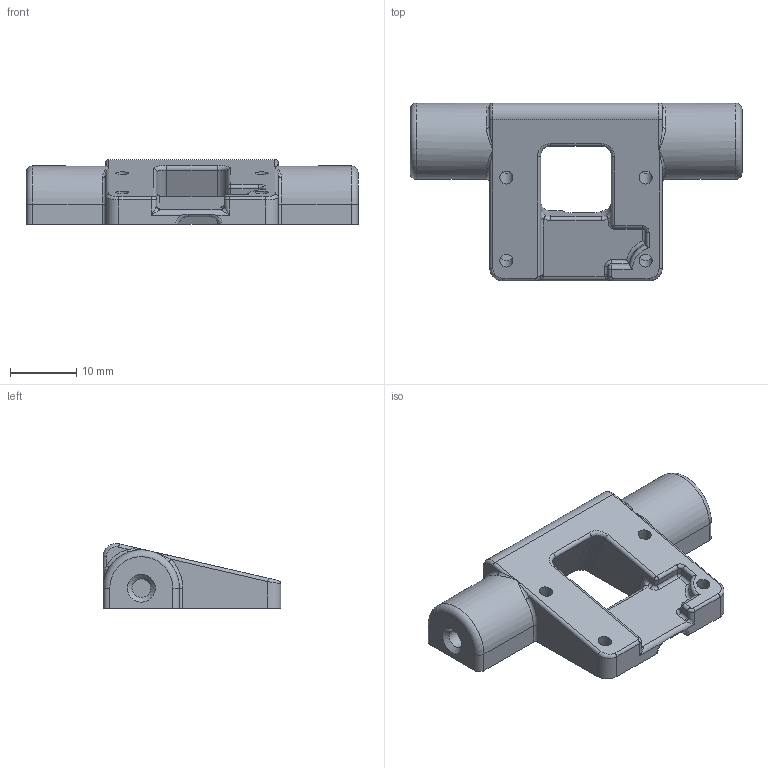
import cadquery as cq
import math

TOTAL_WIDTH = 50.0
TOTAL_LENGTH = 26.78
BODY_WIDTH = 26.0

AXIS_HEIGHT = 3.045
BARREL_RADIUS = 5.75
BARREL_END_FILLET = 1.0
BARREL_ROOT_FILLET = 0.5
PIVOT_HOLE_DIAMETER = 2.8
PIVOT_HOLE_DEPTH = 8.0
PIVOT_COUNTERSINK = 0.7

SLOPE_ANGLE = 13.0
BACK_EDGE_RADIUS = 2.0
FRONT_CORNER_RADIUS = 2.0
EDGE_FILLET = 0.5

WINDOW_HALF_WIDTH = 5.33
WINDOW_BACK = 0.35
WINDOW_BACK_LEAN = 24.0
WINDOW_FRONT = -10.9
WINDOW_CORNER_RADIUS = 1.5
POCKET_DEPTH = 2.0
POCKET_CORNER_RADIUS = 0.5
POCKET_FRONT_FILLET = 0.8
ARM_BACK = -12.23
ARM_FRONT = -17.95
STEP_X = 4.84

SCREW_X = 10.5
SCREW_BACK = -4.29
SCREW_FRONT = -17.12
SCREW_DIAMETER = 2.0
SCREW_FLOOR = 0.6
SCREW_BOSS_RADIUS = 4.0
SCREW_BOSS_X = 12.0
SCREW_BOSS_V = -18.5

GROOVE_X = 1.0
GROOVE_WIDTH = 6.2
GROOVE_HEIGHT = 1.15
GROOVE_CORNER_RADIUS = 1.5
GROOVE_MOUTH_FILLET = 0.5

CLEARANCE = 10.0
TOLERANCE = 0.05

SLOPE = math.radians(SLOPE_ANGLE)
BODY_HALF = BODY_WIDTH / 2
BARREL_END = TOTAL_WIDTH / 2
BACK_Y = BARREL_RADIUS
FRONT_Y = BACK_Y - TOTAL_LENGTH


def slope_height(y):
    """Height of the sloping top plane at a given Y."""
    return AXIS_HEIGHT + BARREL_RADIUS / math.cos(SLOPE) + y * math.tan(SLOPE)


def slope_plane():
    """Plane on the sloping top: X along the part, Y up the slope."""
    normal = cq.Vector(0, -math.sin(SLOPE), math.cos(SLOPE))
    origin = cq.Vector(0, 0, AXIS_HEIGHT) + normal * BARREL_RADIUS
    return cq.Plane(origin=origin, xDir=(1, 0, 0), normal=normal)


def wedge_body():
    """Wedge with a rounded top back edge and rounded upright front corners."""
    wedge = (
        cq.Workplane("YZ")
        .polyline([
            (BACK_Y, 0),
            (BACK_Y, slope_height(BACK_Y)),
            (FRONT_Y, slope_height(FRONT_Y)),
            (FRONT_Y, 0),
        ])
        .close()
        .extrude(BODY_HALF, both=True)
    )
    wedge = wedge.edges("|X and >Z").fillet(BACK_EDGE_RADIUS)
    return wedge.edges("|Z and <Y").fillet(FRONT_CORNER_RADIUS)


def pocket_tool():
    """Sunken floor from the window to the front face, with an arm curving round a screw boss."""
    front = ARM_FRONT - CLEARANCE
    middle = (WINDOW_BACK + WINDOW_FRONT) / 2
    boss_start_v = SCREW_BOSS_V + math.sqrt(SCREW_BOSS_RADIUS**2 - (SCREW_BOSS_X - SCREW_X) ** 2)
    boss_end_x = SCREW_BOSS_X - math.sqrt(SCREW_BOSS_RADIUS**2 - (SCREW_BOSS_V - ARM_FRONT) ** 2)
    diagonal = SCREW_BOSS_RADIUS * math.sqrt(0.5)
    tool = (
        cq.Workplane(slope_plane())
        .moveTo(-WINDOW_HALF_WIDTH, front)
        .lineTo(-WINDOW_HALF_WIDTH, middle)
        .lineTo(WINDOW_HALF_WIDTH, middle)
        .lineTo(WINDOW_HALF_WIDTH, ARM_BACK)
        .lineTo(SCREW_X, ARM_BACK)
        .lineTo(SCREW_X, boss_start_v)
        .threePointArc(
            (SCREW_BOSS_X - diagonal, SCREW_BOSS_V + diagonal),
            (boss_end_x, ARM_FRONT),
        )
        .lineTo(STEP_X, ARM_FRONT)
        .lineTo(STEP_X, front)
        .close()
        .extrude(-POCKET_DEPTH)
    )
    rounded_corners = [
        (WINDOW_HALF_WIDTH, ARM_BACK),
        (SCREW_X, ARM_BACK),
        (STEP_X, ARM_FRONT),
    ]
    for x, v in rounded_corners:
        corner = slope_plane().toWorldCoords((x, v, -POCKET_DEPTH / 2))
        nearest = cq.selectors.NearestToPointSelector(corner.toTuple())
        tool = tool.edges(nearest).fillet(POCKET_CORNER_RADIUS)
    return tool


def window_tool():
    """Opening through the body: front wall square to the slope, back wall leaning further back."""
    depth = 2 * CLEARANCE
    back_drift = depth * math.tan(math.radians(WINDOW_BACK_LEAN - SLOPE_ANGLE))
    slope = slope_plane()
    side = cq.Plane(
        origin=slope.toWorldCoords((-WINDOW_HALF_WIDTH, 0, 0)),
        xDir=slope.yDir,
        normal=slope.xDir,
    )
    along_slope = cq.selectors.ParallelDirSelector(slope.yDir)
    return (
        cq.Workplane(side)
        .polyline([
            (WINDOW_FRONT, 0),
            (WINDOW_BACK, 0),
            (WINDOW_BACK + back_drift, -depth),
            (WINDOW_FRONT, -depth),
        ])
        .close()
        .extrude(2 * WINDOW_HALF_WIDTH)
        .faces("|X")
        .edges(cq.selectors.InverseSelector(along_slope))
        .fillet(WINDOW_CORNER_RADIUS)
    )


def round_pocket_mouth(body):
    """Round the edges where the pocket floor and walls meet the front face."""
    mouth = [
        edge
        for edge in body.faces("<Y").edges().vals()
        if abs(edge.Center().x) <= WINDOW_HALF_WIDTH and edge.Center().z > 0
    ]
    return body.newObject([body.val().fillet(POCKET_FRONT_FILLET, mouth)])


def round_top_edges(body):
    """Round the rims of the sloping top and pocket floor, and the back corners of the body."""
    facing_slope = cq.selectors.ParallelDirSelector(slope_plane().zDir)
    smooth_back_edge = body.edges("|X and >Z").val()
    rims = [
        edge
        for edge in body.faces(facing_slope).edges().vals()
        if not edge.isSame(smooth_back_edge)
    ]
    back_arcs = [
        edge
        for edge in body.edges("%CIRCLE").vals()
        if edge.Center().y > BACK_Y - BACK_EDGE_RADIUS
    ]
    back_corners = body.faces(">Y").edges("|Z").vals()
    return body.newObject([body.val().fillet(EDGE_FILLET, rims + back_arcs + back_corners)])


def left_barrel():
    """Barrel with a rounded end, reaching under the rounded rim of the body."""
    return (
        cq.Workplane("YZ", origin=(-BARREL_END, 0, 0))
        .moveTo(-BARREL_RADIUS, 0)
        .lineTo(-BARREL_RADIUS, AXIS_HEIGHT)
        .threePointArc((0, AXIS_HEIGHT + BARREL_RADIUS), (BARREL_RADIUS, AXIS_HEIGHT))
        .lineTo(BARREL_RADIUS, 0)
        .close()
        .extrude(BARREL_END - BODY_HALF + EDGE_FILLET)
        .faces("<X")
        .edges("not <Z")
        .fillet(BARREL_END_FILLET)
    )


def round_barrel_roots(part):
    """Round the inside corners where the barrels leave the rounded sides of the body."""
    roots = []
    for edge in part.edges().vals():
        center = edge.Center()
        rim_start = BODY_HALF - EDGE_FILLET - TOLERANCE
        beside_body = rim_start <= abs(center.x) <= BODY_HALF + TOLERANCE
        axis_distance = math.hypot(center.y, max(center.z - AXIS_HEIGHT, 0))
        on_barrel = abs(axis_distance - BARREL_RADIUS) < BARREL_ROOT_FILLET
        if beside_body and on_barrel:
            roots.append(edge)
    return part.newObject([part.val().fillet(BARREL_ROOT_FILLET, roots)])


def left_pivot_hole():
    """Blind hole on the pivot axis with a countersunk mouth at the left barrel end."""
    hole_radius = PIVOT_HOLE_DIAMETER / 2
    rim_radius = hole_radius + PIVOT_COUNTERSINK
    return (
        cq.Workplane("XY", origin=(-BARREL_END, 0, AXIS_HEIGHT))
        .polyline([
            (0, 0),
            (0, rim_radius),
            (PIVOT_COUNTERSINK, hole_radius),
            (PIVOT_HOLE_DEPTH, hole_radius),
            (PIVOT_HOLE_DEPTH, 0),
        ])
        .close()
        .revolve(360, (0, 0, 0), (1, 0, 0))
    )


def screw_holes():
    """Drills for four holes square to the slope that all stop at one level floor."""
    positions = [(side * SCREW_X, v) for side in (-1, 1) for v in (SCREW_BACK, SCREW_FRONT)]
    drills = (
        cq.Workplane(slope_plane())
        .pushPoints(positions)
        .circle(SCREW_DIAMETER / 2)
        .extrude(-2 * CLEARANCE)
    )
    above_floor = (
        cq.Workplane("XY", origin=(0, 0, SCREW_FLOOR))
        .rect(2 * TOTAL_WIDTH, 4 * TOTAL_LENGTH)
        .extrude(2 * CLEARANCE)
    )
    return drills.intersect(above_floor)


def cable_groove():
    """Round-topped groove along the base that flares at the front face."""
    front = cq.Workplane("XZ", origin=(GROOVE_X, FRONT_Y, 0))
    groove = (
        front.moveTo(0, GROOVE_HEIGHT - GROOVE_WIDTH / 2)
        .rect(GROOVE_WIDTH, GROOVE_WIDTH)
        .extrude(-TOTAL_LENGTH / 2)
        .edges("|Y")
        .fillet(GROOVE_CORNER_RADIUS)
    )
    space_in_front = front.rect(2 * GROOVE_WIDTH, 4 * GROOVE_WIDTH).extrude(GROOVE_WIDTH)
    mouth = cq.selectors.BoxSelector(
        (GROOVE_X - GROOVE_WIDTH / 2 - TOLERANCE, FRONT_Y - TOLERANCE, -GROOVE_WIDTH),
        (GROOVE_X + GROOVE_WIDTH / 2 + TOLERANCE, FRONT_Y + TOLERANCE, GROOVE_HEIGHT + TOLERANCE),
    )
    return groove.union(space_in_front).edges(mouth).fillet(GROOVE_MOUTH_FILLET)


def make_part():
    part = wedge_body().cut(pocket_tool()).cut(window_tool())
    part = round_pocket_mouth(part)
    part = round_top_edges(part)
    for add in (left_barrel(), left_barrel().mirror("YZ")):
        part = part.union(add)
    part = round_barrel_roots(part)
    for cut in (left_pivot_hole(), left_pivot_hole().mirror("YZ"), screw_holes(), cable_groove()):
        part = part.cut(cut)
    return part


result = make_part()